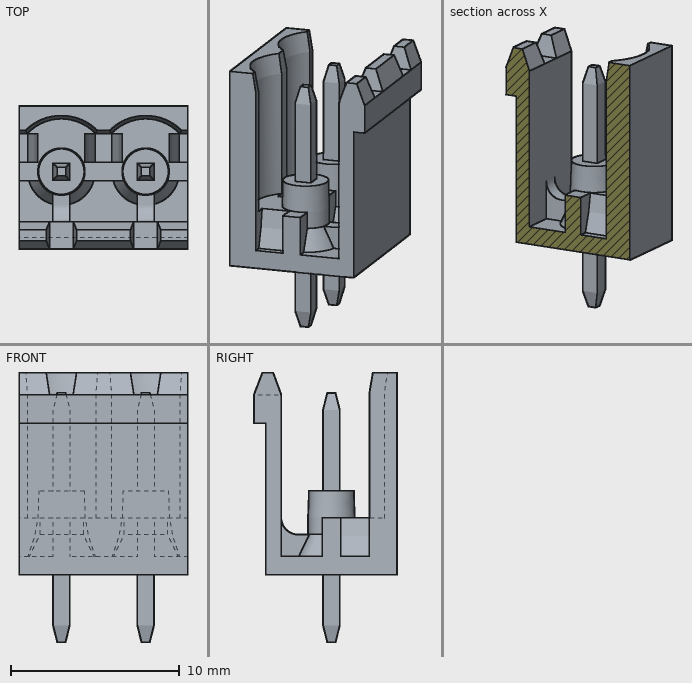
import cadquery as cq

pole_count = 2
pitch = 5.0
length = pole_count * pitch
pin_positions = [(index - (pole_count - 1) / 2) * pitch for index in range(pole_count)]

housing_height = 12.0
floor_top = 1.1
back_outer_y = 3.9
back_inner_y = 2.25
back_bevel_width = 0.2
back_bevel_bottom = 10.8
front_inner_y = -2.97
front_outer_y = -3.9

lip_outer_y = -4.6
lip_bottom = 9.0
lip_bevel_bottom = 10.7
lip_crest_inner_y = -3.45
lip_crest_outer_y = -4.1
notch_bottom_width = 1.4
notch_top_width = 1.8

recess_radius = 2.8
recess_depth_y = 3.13
recess_center_y = recess_depth_y - recess_radius
recess_flare = 0.2

seat_top = 3.4
bar_width = 1.1
block_bottom_width = 4.0
block_break_width = 3.2
block_top_width = 2.8
block_break_z = 2.3
neck_radius = 1.4
neck_bottom = 2.4
cone_bottom_radius = 2.0
collar_top_radius = 1.35
collar_top = 5.0

brace_width = 1.0
brace_fillet = 1.0

pin_width = 1.0
pin_tip_width = 0.5
pin_tip_length = 1.0
pin_top = 10.8
pin_bottom = -4.0


def extrude_along_x(points):
    """Sweep a (y, z) profile over the full length of the housing."""
    profile = cq.Workplane("YZ").workplane(offset=-length / 2)
    return profile.polyline(points).close().extrude(length)


def make_shell():
    return extrude_along_x([
        (back_outer_y, 0),
        (back_outer_y, housing_height),
        (back_inner_y + back_bevel_width, housing_height),
        (back_inner_y, back_bevel_bottom),
        (back_inner_y, floor_top),
        (front_inner_y, floor_top),
        (front_inner_y, lip_bevel_bottom),
        (lip_crest_inner_y, housing_height),
        (lip_crest_outer_y, housing_height),
        (lip_outer_y, lip_bevel_bottom),
        (lip_outer_y, lip_bottom),
        (front_outer_y, lip_bottom),
        (front_outer_y, 0),
    ])


def make_recess(x):
    """Cylindrical cutter that opens into a cone at the top of the back wall."""
    profile = [
        (0, seat_top),
        (recess_radius, seat_top),
        (recess_radius, back_bevel_bottom),
        (recess_radius + recess_flare, housing_height),
        (0, housing_height),
    ]
    cutter = cq.Workplane("XZ").polyline(profile).close().revolve(360, (0, 0), (0, 1))
    behind_pins = cq.Workplane("XY").box(
        pitch, back_outer_y, housing_height, centered=(True, False, False)
    )
    return cutter.translate((0, recess_center_y, 0)).intersect(behind_pins).translate((x, 0, 0))


def make_notch(x):
    """Flared gap through the sloped crest of the latch lip."""
    profile = [
        (x - notch_bottom_width / 2, lip_bevel_bottom),
        (x + notch_bottom_width / 2, lip_bevel_bottom),
        (x + notch_top_width / 2, housing_height),
        (x - notch_top_width / 2, housing_height),
    ]
    sketch = cq.Workplane("XZ", origin=(0, front_inner_y, 0)).polyline(profile).close()
    return sketch.extrude(front_inner_y - lip_outer_y)


def make_seat_bar():
    """Low wall joining the pedestals along the pin row."""
    return cq.Workplane("XY").box(length, bar_width, seat_top, centered=(True, True, False))


def make_back_block(x):
    """Two-slope block between the pedestal and the back wall."""
    profile = [
        (x - block_bottom_width / 2, floor_top),
        (x + block_bottom_width / 2, floor_top),
        (x + block_break_width / 2, block_break_z),
        (x + block_top_width / 2, seat_top),
        (x - block_top_width / 2, seat_top),
        (x - block_break_width / 2, block_break_z),
    ]
    sketch = cq.Workplane("XZ", origin=(0, back_inner_y, 0)).polyline(profile).close()
    return sketch.extrude(back_inner_y)


def make_pedestal(x):
    """Conical foot and neck on the front half, full round collar on top."""
    foot = (
        cq.Workplane("XZ")
        .polyline([
            (0, floor_top),
            (cone_bottom_radius, floor_top),
            (neck_radius, neck_bottom),
            (neck_radius, seat_top),
            (0, seat_top),
        ])
        .close()
        .revolve(360, (0, 0), (0, 1))
    )
    front_half = cq.Workplane("XY").box(
        pitch, cone_bottom_radius, seat_top, centered=(True, False, False)
    ).translate((0, -cone_bottom_radius, 0))
    collar = (
        cq.Workplane("XY", origin=(0, 0, seat_top))
        .circle(neck_radius)
        .workplane(offset=collar_top - seat_top)
        .circle(collar_top_radius)
        .loft(ruled=True)
    )
    return foot.intersect(front_half).union(collar).translate((x, 0, 0))


def make_brace(x):
    """Rib in front of the pedestal, curving up into the front wall."""
    sketch = (
        cq.Workplane("YZ", origin=(x - brace_width / 2, 0, 0))
        .moveTo(0, floor_top)
        .lineTo(0, neck_bottom)
        .lineTo(front_inner_y + brace_fillet, neck_bottom)
        .radiusArc((front_inner_y, neck_bottom + brace_fillet), brace_fillet)
        .lineTo(front_inner_y, floor_top)
        .close()
    )
    return sketch.extrude(brace_width)


def make_pin(x):
    """Square pin with a pyramidal tip at each end."""
    shank_bottom = pin_bottom + pin_tip_length
    shank_top = pin_top - pin_tip_length
    pin = (
        cq.Workplane("XY", origin=(x, 0, shank_bottom))
        .rect(pin_width, pin_width)
        .extrude(shank_top - shank_bottom)
    )
    for base, direction in ((shank_top, 1), (shank_bottom, -1)):
        tip = (
            cq.Workplane("XY", origin=(x, 0, base))
            .rect(pin_width, pin_width)
            .workplane(offset=direction * pin_tip_length)
            .rect(pin_tip_width, pin_tip_width)
            .loft(ruled=True)
        )
        pin = pin.union(tip)
    return pin


result = make_shell()
for pin_x in pin_positions:
    result = result.cut(make_recess(pin_x)).cut(make_notch(pin_x))

result = result.union(make_seat_bar())
for pin_x in pin_positions:
    for make_feature in (make_back_block, make_pedestal, make_brace, make_pin):
        result = result.union(make_feature(pin_x))